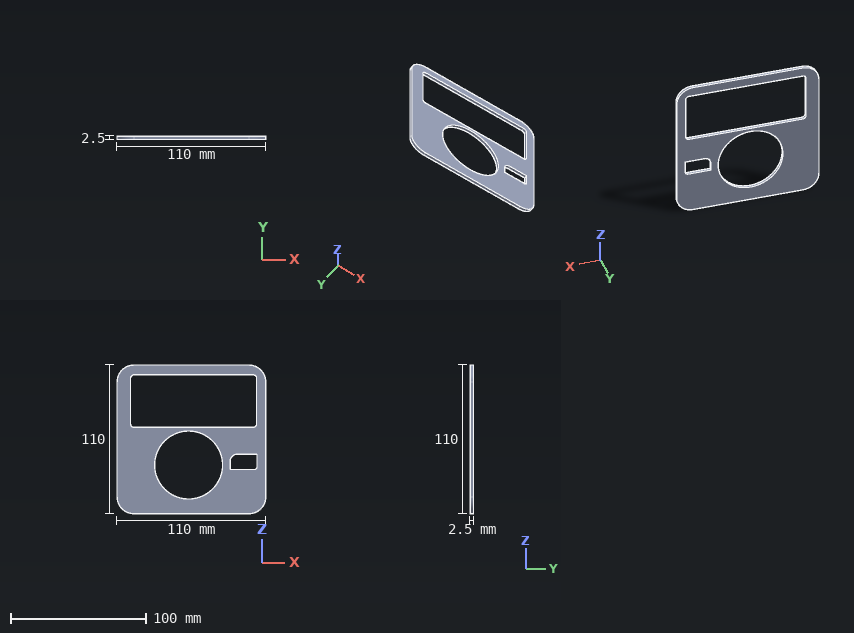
import cadquery as cq

side = 110.0
thickness = 2.5
corner_radius = 12.5

window_width = 93.0
window_height = 38.6
window_left_margin = 10.1
window_top_margin = 7.4
window_radius = 2.4

dial_diameter = 50.0
dial_x = -2.1
dial_z = -18.9

slot_width = 19.7
slot_height = 11.2
slot_left = 28.7
slot_bottom = -22.2
slot_large_radius = 5.1
slot_small_radius = 2.0


def upright_block(width, height, center_x, center_z):
    """Rectangular block through the plate thickness."""
    return cq.Workplane("XY").box(width, thickness, height).translate((center_x, 0, center_z))


def make_plate():
    return upright_block(side, side, 0, 0).edges("|Y").fillet(corner_radius)


def make_window():
    center_x = -side / 2 + window_left_margin + window_width / 2
    center_z = side / 2 - window_top_margin - window_height / 2
    block = upright_block(window_width, window_height, center_x, center_z)
    return block.edges("|Y").fillet(window_radius)


def make_dial_opening():
    disc = cq.Workplane("XZ").circle(dial_diameter / 2).extrude(thickness / 2, both=True)
    return disc.translate((dial_x, 0, dial_z))


def make_slot():
    center_x = slot_left + slot_width / 2
    center_z = slot_bottom + slot_height / 2
    block = upright_block(slot_width, slot_height, center_x, center_z)
    block = block.faces("<X").edges("|Y").edges(">Z").fillet(slot_large_radius)
    return block.faces(">X").edges("|Y").edges("<Z").fillet(slot_small_radius)


result = make_plate().cut(make_window()).cut(make_dial_opening()).cut(make_slot())